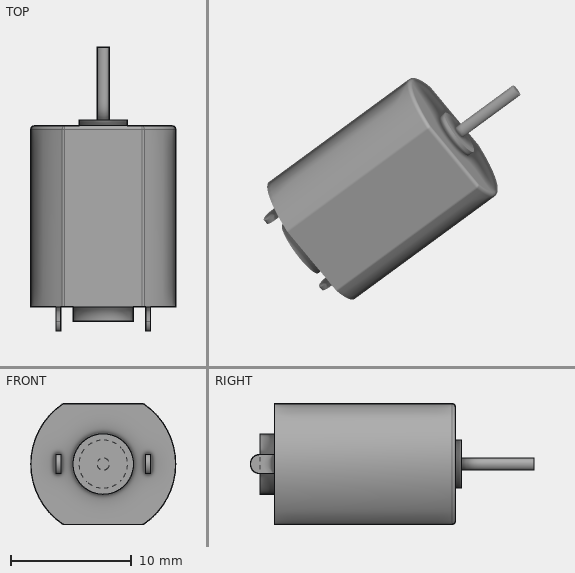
import cadquery as cq

overall_length = 23.5

can_diameter = 12.0
can_height = 10.0
can_length = 15.0
corner_radius = 0.3
front_edge_radius = 0.3

terminal_length = 2.0
terminal_width = 1.6
terminal_thickness = 0.4
terminal_spacing = 7.43

rear_boss_diameter = 5.0
rear_boss_length = 1.2
collar_diameter = 4.0
collar_length = 0.5
shaft_diameter = 1.0

terminal_tip_y = -overall_length / 2
shaft_tip_y = overall_length / 2
rear_face_y = terminal_tip_y + terminal_length
front_face_y = rear_face_y + can_length
collar_face_y = front_face_y + collar_length


def cylinder_along_y(diameter, start_y, end_y):
    """Solid cylinder on the motor axis between two stations."""
    profile = cq.Workplane("XZ", origin=(0, end_y, 0)).circle(diameter / 2)
    return profile.extrude(end_y - start_y)


def make_can():
    """Flat-sided can with softened long corners and a rounded front rim."""
    middle_y = (rear_face_y + front_face_y) / 2
    slab = cq.Workplane("XY", origin=(0, middle_y, 0)).box(can_diameter, can_length, can_height)
    can = cylinder_along_y(can_diameter, rear_face_y, front_face_y).intersect(slab)
    can = can.faces("<Z or >Z").edges("|Y").fillet(corner_radius)
    return can.faces(">Y").edges().fillet(front_edge_radius)


def make_terminal(center_x):
    """Flat solder tab standing on the rear face, with a fully rounded tip."""
    half_width = terminal_width / 2
    shoulder_y = terminal_tip_y + half_width
    outline = (
        cq.Workplane("YZ", origin=(center_x, 0, 0))
        .moveTo(rear_face_y, -half_width)
        .lineTo(shoulder_y, -half_width)
        .threePointArc((terminal_tip_y, 0), (shoulder_y, half_width))
        .lineTo(rear_face_y, half_width)
        .close()
    )
    return outline.extrude(terminal_thickness / 2, both=True)


result = make_can()
result = result.union(cylinder_along_y(rear_boss_diameter, rear_face_y - rear_boss_length, rear_face_y))
result = result.union(cylinder_along_y(collar_diameter, front_face_y, collar_face_y))
result = result.union(cylinder_along_y(shaft_diameter, collar_face_y, shaft_tip_y))
for side in (-1, 1):
    result = result.union(make_terminal(side * terminal_spacing / 2))